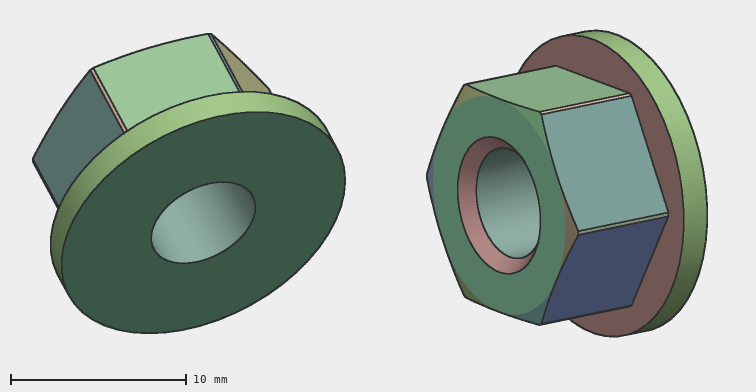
import cadquery as cq
import math

total_length = 8.33
flange_diameter = 17.46
flange_thickness = 1.68
across_flats = 12.68
across_corners = 14.51
bore_diameter = 6.4
countersink_diameter = 7.93
corner_chamfer_angle = 15.0

hex_length = total_length - flange_thickness
sharp_across_corners = across_flats / math.cos(math.radians(30))
countersink_depth = (countersink_diameter - bore_diameter) / 2


def make_corner_envelope():
    """Turned blank that rounds the hexagon corners and chamfers its end."""
    face_radius = across_flats / 2
    corner_radius = across_corners / 2
    chamfer_length = (corner_radius - face_radius) * math.tan(math.radians(corner_chamfer_angle))
    return (
        cq.Workplane("XY")
        .polyline([
            (0, 0),
            (0, face_radius),
            (chamfer_length, corner_radius),
            (hex_length, corner_radius),
            (hex_length, 0),
        ])
        .close()
        .revolve(360, (0, 0, 0), (1, 0, 0))
    )


def make_hex_body():
    """Hexagon with flats facing up and down and corners along Y."""
    prism = cq.Workplane("YZ").polygon(6, sharp_across_corners).extrude(hex_length)
    return prism.intersect(make_corner_envelope())


def make_flange():
    return (
        cq.Workplane("YZ", origin=(hex_length, 0, 0))
        .circle(flange_diameter / 2)
        .extrude(flange_thickness)
    )


def make_bore():
    """Through bore with a countersink at the hexagon end."""
    bore_radius = bore_diameter / 2
    return (
        cq.Workplane("XY")
        .polyline([
            (0, 0),
            (0, countersink_diameter / 2),
            (countersink_depth, bore_radius),
            (total_length, bore_radius),
            (total_length, 0),
        ])
        .close()
        .revolve(360, (0, 0, 0), (1, 0, 0))
    )


result = make_hex_body().union(make_flange()).cut(make_bore())